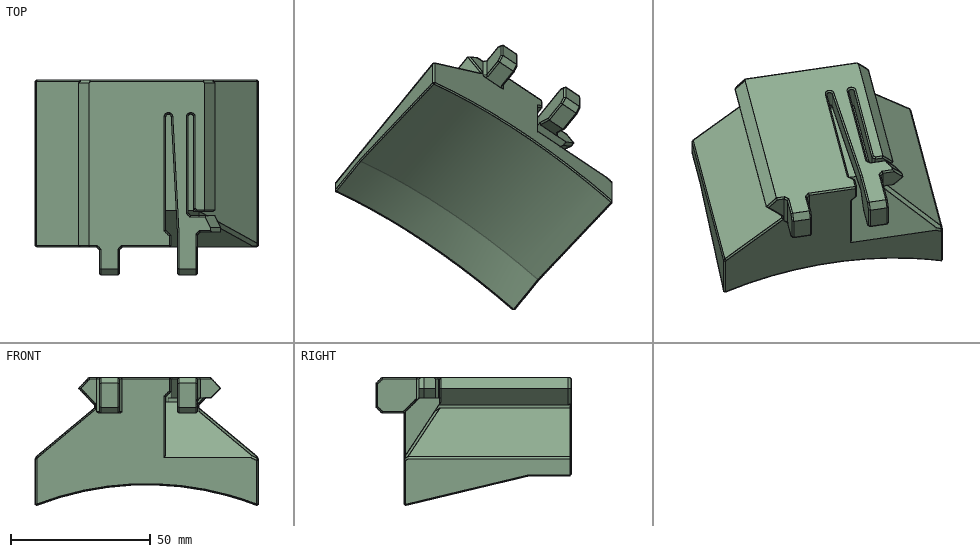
import cadquery as cq
import math


body_width = 80.0
body_depth = 60.0
half_width = body_width / 2
top_half_width = 20.7
tip_half_width = 24.4
tip_drop = 3.9
neck_half_width = 18.7
neck_top = -9.9
neck_bottom = -11.0
shoulder_z = -28.7

front_corner_drop = 46.26
rear_corner_drop = 35.5
ramp_depth = 44.8
saddle_rise = 7.6

edge_break = 0.6
dovetail_lead_in = 1.2
root_break = 1.0
ledge_break = 1.0

tab_width = 7.2
tab_length = 10.0
tab_height = 12.8
tab_nose = 2.1
left_tab_x = -13.4
right_tab_x = 14.6

finger_thickness = 7.4
slot_width = 2.0
slot_radius = slot_width / 2
left_slot_x = 7.8
right_slot_x = 15.8
slot_end_y = 47.7
slot_centre_y = slot_end_y - slot_radius
slot_floor = -8.8
pocket_rear_y = 13.2
pocket_front_floor = -28.8
pocket_left_x = left_slot_x - slot_radius
dovetail_front_y = 12.7

hook_rear_y = 11.3
hook_ramp_y = 7.1
hook_front_y = tab_height - finger_thickness
hook_reach = 2.1
lip_x = 8.6
lip_height = 7.0
lip_depth = 4.2

outside = 8.0
overlap = 1.6
tolerance = 0.01


def plan_prism(points, z_low, z_high):
    """Vertical prism over a closed XY outline."""
    return cq.Workplane("XY").workplane(offset=z_low).polyline(points).close().extrude(z_high - z_low)


def side_prism(points, x_low, x_high):
    """Prism along X over a closed YZ outline."""
    return cq.Workplane("YZ").workplane(offset=x_low).polyline(points).close().extrude(x_high - x_low)


def front_prism(points, y_low, y_high):
    """Prism along Y over a closed XZ outline."""
    return cq.Workplane("XZ", origin=(0, y_low, 0)).polyline(points).close().extrude(y_low - y_high)


def make_body():
    right = [
        (top_half_width, 0),
        (tip_half_width, -tip_drop),
        (neck_half_width, neck_top),
        (neck_half_width, neck_bottom),
        (half_width, shoulder_z),
        (half_width, -front_corner_drop),
    ]
    left = [(-x, z) for x, z in reversed(right)]
    body = front_prism(right + left, 0, body_depth)
    return body.cut(make_saddle())


def saddle_outline(plane, corner_z):
    low = -front_corner_drop - outside
    return (
        plane.moveTo(-half_width, corner_z)
        .threePointArc((0, corner_z + saddle_rise), (half_width, corner_z))
        .lineTo(half_width, low)
        .lineTo(-half_width, low)
        .close()
    )


def make_saddle():
    """Arched cutter: level at the rear, descending toward the front."""
    rear = saddle_outline(cq.Workplane("XZ", origin=(0, ramp_depth, 0)), -rear_corner_drop)
    level = rear.extrude(ramp_depth - body_depth)
    front = saddle_outline(cq.Workplane("XZ"), -front_corner_drop).wires().val()
    ramp = cq.Solid.makeLoft([front, rear.wires().val()], True)
    return level.union(cq.Workplane(ramp))


def make_pocket():
    """Open front-right pocket with a steep floor, plus the clearance beneath the finger."""
    right_x = half_width + outside
    slope = (slot_floor - pocket_front_floor) / pocket_rear_y
    front = side_prism(
        [
            (-overlap, pocket_front_floor - slope * overlap),
            (dovetail_front_y, slot_floor - slope * (pocket_rear_y - dovetail_front_y)),
            (dovetail_front_y, overlap),
            (-overlap, overlap),
        ],
        pocket_left_x,
        right_x,
    )
    slot_right = right_slot_x + slot_radius
    under = side_prism(
        [
            (-overlap, pocket_front_floor - slope * overlap),
            (pocket_rear_y, slot_floor),
            (slot_end_y, slot_floor),
            (slot_end_y, overlap),
            (-overlap, overlap),
        ],
        pocket_left_x,
        slot_right,
    ).edges("|Z and >Y").fillet(slot_radius)
    corner = plan_prism(
        [
            (slot_right, dovetail_front_y + root_break),
            (slot_right + root_break, dovetail_front_y),
            (slot_right, dovetail_front_y),
        ],
        slot_floor - overlap,
        overlap,
    )
    return front.union(under).union(corner)


def make_finger():
    left_x = right_tab_x - tab_width / 2
    right_x = right_tab_x + tab_width / 2
    rear_left = left_slot_x + slot_radius
    rear_right = right_slot_x - slot_radius
    root_y = slot_end_y + overlap
    hook_x = right_x + root_break
    outline = (
        cq.Workplane("XY")
        .moveTo(left_x, -tab_length)
        .lineTo(left_x, hook_front_y)
        .lineTo(rear_left, slot_centre_y)
        .threePointArc((left_slot_x, slot_end_y), (pocket_left_x, slot_centre_y))
        .lineTo(pocket_left_x, root_y)
        .lineTo(right_slot_x + slot_radius, root_y)
        .lineTo(right_slot_x + slot_radius, slot_centre_y)
        .threePointArc((right_slot_x, slot_end_y), (rear_right, slot_centre_y))
        .lineTo(rear_right, hook_rear_y + root_break)
        .lineTo(rear_right + root_break, hook_rear_y)
        .lineTo(hook_x, hook_rear_y)
        .lineTo(hook_x, hook_front_y)
        .lineTo(right_x, hook_front_y - root_break)
        .lineTo(right_x, -tab_length)
        .close()
    )
    blank = outline.extrude(-tab_height)
    side = side_prism(
        [
            (-tab_length, -tab_nose),
            (tab_nose - tab_length, 0),
            (body_depth, 0),
            (body_depth, -finger_thickness),
            (hook_front_y, -finger_thickness),
            (0, -tab_height),
            (tab_nose - tab_length, -tab_height),
            (-tab_length, tab_nose - tab_height),
        ],
        0,
        half_width,
    )
    return blank.intersect(side).union(make_hook(hook_x))


def hook_section(y, shift, inner_x):
    foot_x = tip_half_width - (finger_thickness - tip_drop)
    return (
        cq.Workplane("XZ", origin=(0, y, 0))
        .polyline([
            (inner_x, 0),
            (top_half_width + shift, 0),
            (tip_half_width + shift, -tip_drop),
            (foot_x + shift, -finger_thickness),
            (inner_x, -finger_thickness),
        ])
        .close()
    )


def make_hook(inner_x):
    """Dovetail-shaped hook that ramps outward toward the front."""
    front = hook_section(hook_ramp_y, hook_reach, inner_x)
    rear = hook_section(hook_rear_y, 0, inner_x)
    ramp = cq.Solid.makeLoft([front.wires().val(), rear.wires().val()], True)
    return front.extrude(hook_ramp_y - hook_front_y).union(cq.Workplane(ramp))


def make_left_tab():
    half = tab_width / 2
    plan = plan_prism(
        [
            (left_tab_x - half, -tab_length),
            (left_tab_x + half, -tab_length),
            (left_tab_x + half, -root_break),
            (left_tab_x + half + root_break, 0),
            (left_tab_x + half + root_break, overlap),
            (left_tab_x - half - root_break, overlap),
            (left_tab_x - half - root_break, 0),
            (left_tab_x - half, -root_break),
        ],
        -tab_height,
        0,
    )
    side = side_prism(
        [
            (-tab_length, -tab_nose),
            (tab_nose - tab_length, 0),
            (overlap, 0),
            (overlap, -tab_height),
            (tab_nose - tab_length, -tab_height),
            (-tab_length, tab_nose - tab_height),
        ],
        -half_width,
        half_width,
    )
    return plan.intersect(side)


def make_lip():
    """Stop lip beside the finger, with a sloped rear and a sloped underside."""
    run = lip_x - pocket_left_x
    plan = plan_prism(
        [
            (pocket_left_x, 0),
            (lip_x, 0),
            (lip_x, lip_depth),
            (pocket_left_x, lip_depth + run),
        ],
        -lip_height,
        0,
    )
    section = front_prism(
        [
            (pocket_left_x, 0),
            (lip_x, 0),
            (lip_x, run - lip_height),
            (pocket_left_x, -lip_height),
        ],
        0,
        body_depth,
    )
    return plan.intersect(section)


def near(value, target):
    return abs(value - target) < tolerance


def is_ledge_edge(centre, box):
    """Slanted edge where the pocket floor breaks out through the sloping side."""
    return min(box.xlen, box.ylen, box.zlen) > tolerance and box.xlen > outside and centre.y < pocket_rear_y


def is_front_edge(centre, box):
    """Front outline of the body and the pocket's left side, leaving the pocket's foot and tab root sharp."""
    in_plane = box.ylen < tolerance and near(centre.y, 0) and centre.z < -tolerance
    on_foot = near(centre.z, pocket_front_floor)
    on_finger = centre.x > lip_x + tolerance and centre.z > pocket_front_floor
    root_left = left_tab_x - tab_width / 2 - root_break
    root_right = left_tab_x + tab_width / 2 + root_break
    on_root = root_left - tolerance < centre.x < root_right + tolerance and near(centre.z, -tab_height)
    on_root_side = near(box.zlen, tab_height) and (near(centre.x, root_left) or near(centre.x, root_right))
    return in_plane and not (on_foot or on_finger or on_root or on_root_side)


def is_dovetail_slope(centre):
    """Centres of edges that end the sloping faces of the dovetail."""
    return abs(centre.x) > neck_half_width + tolerance and neck_top < centre.z < -tolerance


def is_dovetail_end(centre, box):
    """Sloping rear edges of the dovetail."""
    return box.ylen < tolerance and near(centre.y, body_depth) and is_dovetail_slope(centre)


def is_left_dovetail_end(centre, box):
    return is_dovetail_end(centre, box) and centre.x < 0


def is_right_dovetail_end(centre, box):
    return is_dovetail_end(centre, box) and centre.x > 0


def is_rear_edge(centre, box):
    in_plane = box.ylen < tolerance and near(centre.y, body_depth)
    return in_plane and not is_dovetail_end(centre, box)


def is_side_edge(centre, box):
    """Edges running front to back along the two outer sides."""
    return box.xlen < tolerance and near(abs(centre.x), half_width) and box.ylen > tolerance


def is_top_edge(centre, box):
    """Rims of the slots, finger, tabs and front in the flat top, leaving the dovetail slopes sharp."""
    in_plane = box.zlen < tolerance and near(centre.z, 0) and centre.y < slot_end_y + tolerance
    on_nose = near(centre.y, tab_nose - tab_length)
    on_dovetail = box.ylen > tolerance and abs(centre.x) > top_half_width - tolerance
    return in_plane and not (on_nose or on_dovetail)


def is_tab_side_edge(centre, box):
    """Outline of both side faces of each tab below the flat top, with the lower root corners."""
    is_root_foot = near(centre.z, -tab_height) and near(box.xlen, root_break) and near(box.ylen, root_break)
    on_side = any(near(abs(centre.x - tab_x), tab_width / 2) for tab_x in (left_tab_x, right_tab_x))
    in_front = box.xlen < tolerance and centre.y < hook_front_y - root_break and centre.z < -tolerance
    is_root = box.ylen < tolerance and centre.y > -tab_length + tolerance
    return is_root_foot or (on_side and in_front and not is_root)


def is_dovetail_front(centre, box):
    """Sloping edges of the dovetail's shortened right front end."""
    in_plane = box.ylen < tolerance and near(centre.y, dovetail_front_y)
    return in_plane and is_dovetail_slope(centre)


def break_edges(solid, first_length, second_length, *tests):
    """Chamfer every edge that passes one of the tests."""
    chosen = [
        edge for edge in solid.Edges()
        if any(test(edge.Center(), edge.BoundingBox()) for test in tests)
    ]
    return solid.chamfer(first_length, second_length, chosen)


sharp_body = make_body().cut(make_pocket()).union(make_lip()).union(make_finger()).union(make_left_tab())
part = sharp_body.clean().solids().val()
part = break_edges(part, edge_break, dovetail_lead_in, is_left_dovetail_end)
part = break_edges(part, edge_break, dovetail_lead_in, is_right_dovetail_end)
part = break_edges(part, ledge_break, None, is_ledge_edge)
part = break_edges(
    part, edge_break, None,
    is_front_edge, is_rear_edge, is_side_edge, is_top_edge, is_tab_side_edge, is_dovetail_front,
)

result = cq.Workplane(part)